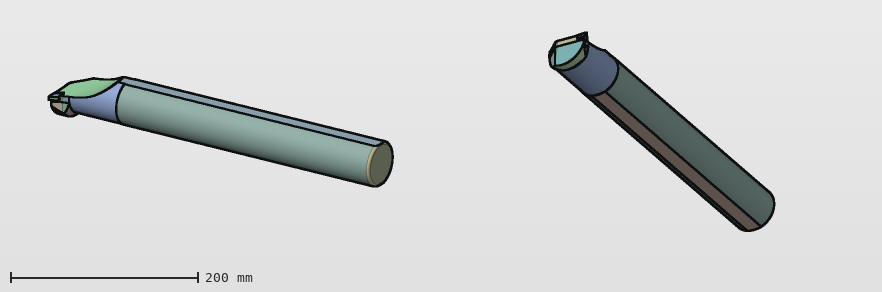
import cadquery as cq
import math

length = 399.92
shank_radius = 25.0
shank_start = 80.0
flat_height = 23.5
neck_radius = 24.7
end_round = 3.0

head_radius = 28.85
head_center_y = shank_radius - head_radius
head_straight = 14.6
head_end = 20.0

floor_tilt = 5.0
floor_height = 2.4
disc_radius = 25.0
scoop_center_y = -1.0
sweep_height = 25.0
sweep_controls = [(30.0, 0), (54.0, 0), (73.2, sweep_height)]

band_height = 7.0
relief_angle = 2.5

front_outer = (0.7, -31.0)
front_inner = (2.2, 3.0)
corner_bevel_end = (3.2, 6.6)
chamfer_back = (21.3, shank_radius)
side_knee = (12.3, -26.0)
side_back = (head_end, -24.6)

step_y = -23.2
step_depth = 0.5

insert_thickness = 3.8
insert_length = 9.6
insert_width = 11.6
insert_angle = 27.0
tip_y = -34.31
nose_length = 0.6
nose_width = 1.2

oversize = 100.0


def tilted(shape):
    """Tilt about the X axis by the floor angle and lift to the floor height."""
    return shape.rotate((0, 0, 0), (1, 0, 0), floor_tilt).translate((0, 0, floor_height))


def round_bar(radius, start, end, center_y=0.0):
    plane = cq.Workplane("YZ", origin=(start, 0, 0))
    return plane.center(center_y, 0).circle(radius).extrude(end - start)


def make_shank():
    """Round shank with a rounded end and flats above and below."""
    shank = round_bar(shank_radius, shank_start, length).faces(">X").edges().fillet(end_round)
    between_flats = cq.Workplane("XY").box(
        length, oversize, 2 * flat_height, centered=(False, True, True)
    )
    return shank.intersect(between_flats)


def make_neck():
    """Slightly slimmer neck that carries on the upper flat only."""
    neck = round_bar(neck_radius, head_end, shank_start)
    below_flat = cq.Workplane("XY", origin=(0, 0, flat_height - oversize)).box(
        length, oversize, oversize, centered=(False, True, False)
    )
    return neck.intersect(below_flat)


def make_head_blank():
    straight = round_bar(head_radius, 0, head_straight, head_center_y)
    taper = (
        cq.Workplane("YZ", origin=(head_straight, 0, 0))
        .center(head_center_y, 0)
        .circle(head_radius)
        .workplane(offset=head_end - head_straight)
        .center(-head_center_y, 0)
        .circle(neck_radius)
        .loft(combine=True)
    )
    return straight.union(taper)


def front_x(y):
    """X of the slightly slanted front wall at a given Y."""
    slope = (front_inner[0] - front_outer[0]) / (front_inner[1] - front_outer[1])
    return front_outer[0] + slope * (y - front_outer[1])


def wall_prism(front_points, shift_y, bottom, top):
    """Upright prism on the head's plan outline, left open towards the neck and the +Y side."""
    points = front_points + [
        front_inner,
        corner_bevel_end,
        chamfer_back,
        (chamfer_back[0], oversize),
        (oversize, oversize),
        (oversize, side_back[1]),
        side_back,
        side_knee,
    ]
    moved = [(x, y + shift_y) for x, y in points]
    return cq.Workplane("XY", origin=(0, 0, bottom)).polyline(moved).close().extrude(top - bottom)


def make_band():
    """Upper part of the head walls, square to the tilted floor."""
    step_x = front_x(step_y)
    stepped_front = [front_outer, (step_x - step_depth, step_y), (step_x, step_y)]
    return tilted(wall_prism(stepped_front, 0, -band_height, band_height))


def make_relief(start):
    """Block in front of the head whose back face leans away below the starting point."""
    slant = math.degrees(
        math.atan2(front_inner[0] - front_outer[0], front_inner[1] - front_outer[1])
    )
    return (
        cq.Workplane("XY")
        .box(oversize, 2 * oversize, oversize)
        .translate((-oversize / 2, 0, -oversize / 2))
        .rotate((0, 0, 0), (0, 1, 0), -relief_angle)
        .rotate((0, 0, 0), (0, 0, 1), -slant)
        .translate(start)
    )


def make_lower_walls():
    """Upright walls below the band, with a relieved front."""
    shift_y = band_height * math.sin(math.radians(floor_tilt))
    walls = wall_prism([front_outer], shift_y, -oversize, oversize)
    below_band = tilted(
        cq.Workplane("XY", origin=(0, 0, -band_height - oversize)).box(
            2 * oversize, 2 * oversize, oversize, centered=(True, True, False)
        )
    )
    relief_start = (front_outer[0], front_outer[1] + shift_y, floor_height - band_height)
    return walls.intersect(below_band).cut(make_relief(relief_start))


def make_scoop():
    """Bowl turned about an upright axis: a flat disc whose rim sweeps up smoothly."""
    sweep = [(disc_radius + reach, height) for reach, height in sweep_controls]
    bowl = (
        cq.Workplane("XZ")
        .lineTo(disc_radius, 0)
        .bezier(sweep, includeCurrent=True)
        .lineTo(0, sweep_height)
        .close()
        .revolve(360, (0, 0, 0), (0, 1, 0))
    )
    return tilted(bowl.translate((-disc_radius, scoop_center_y, 0)))


def make_insert():
    """Slanted four-sided insert with a small bevel at its tip."""
    back_shift = insert_length * math.tan(math.radians(insert_angle))
    plan = [
        (0, tip_y + insert_width),
        (0, tip_y + nose_width),
        (nose_length, tip_y),
        (2 * nose_length, tip_y),
        (insert_length, tip_y + back_shift),
        (insert_length, tip_y + insert_width + back_shift),
    ]
    base = cq.Workplane("XY", origin=(0, 0, -insert_thickness))
    return base.polyline(plan).close().extrude(insert_thickness)


def make_holder(seated_insert):
    """Bar and head as one solid, with a pocket for the insert that is open at the top."""
    walls = make_band().union(make_lower_walls())
    head = make_head_blank().intersect(walls)
    bar = make_shank().union(make_neck()).union(head)
    pocket = seated_insert.union(seated_insert.translate((0, 0, insert_thickness)))
    return bar.cut(make_scoop()).cut(pocket).solids()


insert = make_insert()
holder = make_holder(insert)
result = cq.Compound.makeCompound([holder.val(), insert.val()])